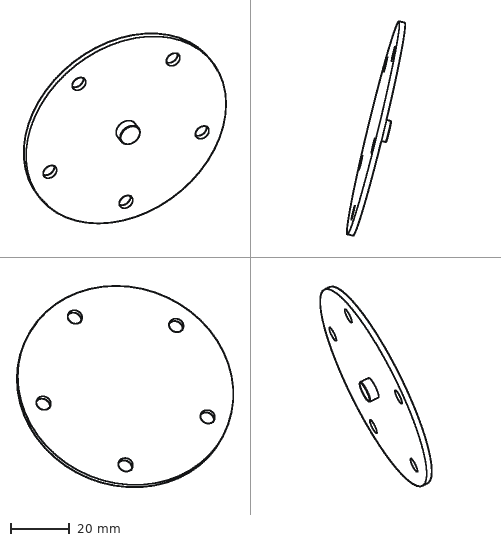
import cadquery as cq

plate_diameter = 75.0
plate_thickness = 2.0

hole_count = 5
hole_diameter = 5.0
bolt_circle_radius = 30.0
bottom_angle = -90.0

overall_length = 5.5
boss_diameter = 7.5
boss_length = overall_length - plate_thickness
boss_chamfer = 0.2


def make_plate():
    """Disc from X = 0 to the plate thickness, pierced by the bolt holes."""
    disc = cq.Workplane("YZ").circle(plate_diameter / 2).extrude(plate_thickness)
    holes = (
        cq.Workplane("YZ")
        .polarArray(bolt_circle_radius, bottom_angle, 360, hole_count)
        .circle(hole_diameter / 2)
        .extrude(plate_thickness)
    )
    return disc.cut(holes)


def make_boss():
    """Cylindrical boss with a chamfered free end."""
    return (
        cq.Workplane("YZ", origin=(plate_thickness, 0, 0))
        .circle(boss_diameter / 2)
        .extrude(boss_length)
        .faces(">X")
        .chamfer(boss_chamfer)
    )


result = make_plate().union(make_boss())